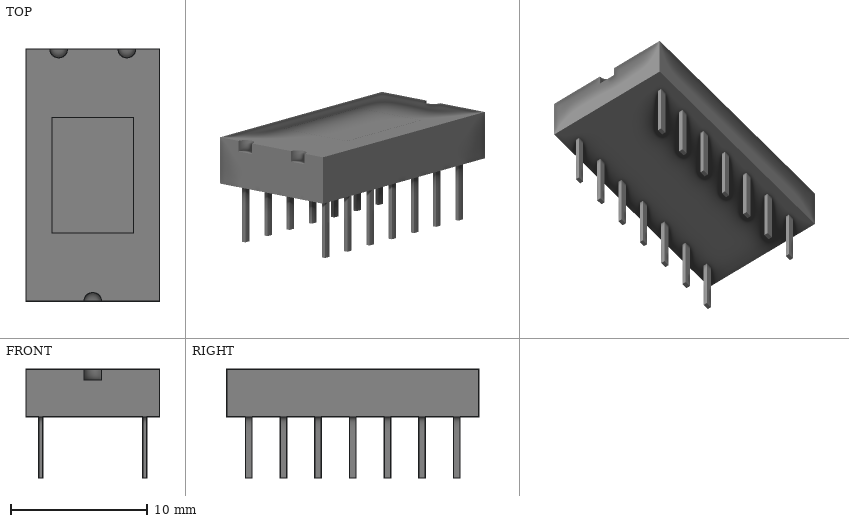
import cadquery as cq

package_width = 9.8
package_length = 18.5
package_height = 3.5

overall_height = 8.0
pin_length = overall_height - package_height
pin_thickness = 0.3
pin_width = 0.5
row_spacing = 7.62
pitches_between_rows = 3
pin_pitch = row_spacing / pitches_between_rows
pins_per_row = 7

notch_radius = 0.65
notch_depth = 0.8
rear_notch_spacing = 5.0

recess_width = 6.0
recess_length = 8.5
lid_thickness = 0.18
lid_clearance = 0.024
lid_width = recess_width - 2 * lid_clearance
lid_length = recess_length - 2 * lid_clearance


def make_notches():
    """Round cutters: one on the front edge and a pair on the rear edge."""
    end_y = package_length / 2
    centres = [
        (0, -end_y),
        (-rear_notch_spacing / 2, end_y),
        (rear_notch_spacing / 2, end_y),
    ]
    return (
        cq.Workplane("XY")
        .workplane(offset=package_height - notch_depth)
        .pushPoints(centres)
        .circle(notch_radius)
        .extrude(notch_depth)
    )


def make_plate(width, length):
    """Rectangular plate of the lid's thickness, level with the top of the package."""
    return (
        cq.Workplane("XY")
        .workplane(offset=package_height - lid_thickness)
        .rect(width, length)
        .extrude(lid_thickness)
    )


def make_package():
    """Notched block with a recess for the lid and two rows of pins below."""
    block = (
        cq.Workplane("XY")
        .rect(package_width, package_length)
        .extrude(package_height)
        .cut(make_notches())
        .cut(make_plate(recess_width, recess_length))
    )
    pins = (
        cq.Workplane("XY")
        .rarray(row_spacing, pin_pitch, 2, pins_per_row)
        .rect(pin_thickness, pin_width)
        .extrude(-pin_length)
    )
    return block.union(pins).solids()


package = make_package()
lid = make_plate(lid_width, lid_length)

result = cq.Compound.makeCompound([package.val(), lid.val()])